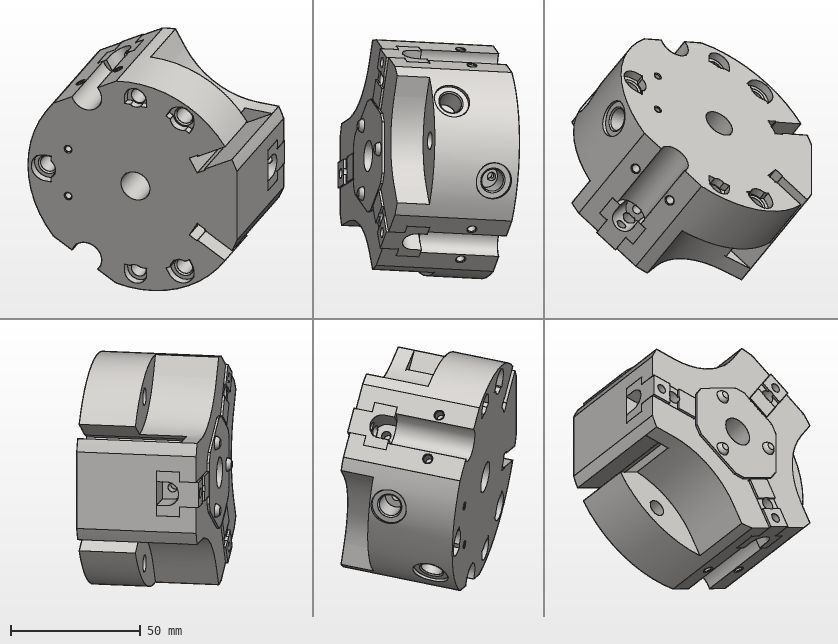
import cadquery as cq
import math


housing_radius = 45.0
flat_distance = 42.4
housing_depth = 47.0
jaw_angles = (0, 120, 240)
bore_radius = 6.0
rim_bottom = 40.5

foot_bottom = 31.4
foot_half_width = 8.8
neck_half_width = 4.95
jaw_top = 47.9
jaw_inner = 21.2
jaw_slot_end = 30.1
jaw_slot_radius = 4.7
jaw_slot_height = 4.0
jaw_slot_axis = foot_bottom + jaw_slot_height
jaw_slot_hole_radius = 1.8
jaw_slot_hole_depth = 5.4
jaw_pin_hole_place = 38.5
jaw_pin_hole_radius = 1.9
key_slot_place = 31.9
key_slot_width = 4.7
key_hole_radius = 2.6
key_hole_bottom = 39.2

hollow_half_width = 24.9
hollow_flank = 8.55
hollow_flank_angle = 60.0
hollow_bottoms = {60: 22.1, 180: 34.0, 300: 22.1}

slot_angles = (30, -30)
slot_inner = 27.9
slot_step = 31.7
slot_half_width = 2.9
slot_end_half_width = 3.3

groove_angles = (120, 240)
groove_place = 40.9
groove_radius = 6.3
clamp_hole_y = 14.6
clamp_hole_offset = 9.0
clamp_hole_radius = 1.6
clamp_hole_length = 5.4

mount_place = 38.0
mount_recess_depth = 3.2
recess_edge_offset = 2.7
through_angles = (60, 180, 300)
through_radius = 3.3
through_counterbore = 4.5
through_recess_radius = 5.6
through_chamfer = 0.6
blind_angles = (90, 270)
blind_radius = 3.1
blind_counterbore = 3.4
blind_recess_radius = 4.6
blind_depth = 18.0
locating_x = -28.2
locating_z = 10.3
locating_radius = 1.3
locating_depth = 7.2
small_chamfer = 0.4

ports = ((160, 26.4, 26.4), (200, 9.5, 7.6))
port_seat_place = 43.5
port_seat_radius = 7.0
port_radius = 4.3
port_chamfer = 0.5
port_depth = 9.4
port_feed_radius = 1.6
port_feed_depth = 5.4

plate_jaw_side = 20.5
plate_long_side = 19.35
plate_corner_side = 21.8
plate_long_side_turn = 60
plate_corner_turn = 30
screw_angles = (60, 180, 300)
screw_place = 15.4
screw_radius = 2.7
screw_top = 49.7
screw_dome_drop = 0.5

drill_tip_angle = 118.0
tool_overrun = 9.0
outside = housing_radius + tool_overrun


def turned(shape, angle):
    """Turn a shape about the Y axis, from +X towards +Z."""
    return shape.rotate((0, 0, 0), (0, 1, 0), -angle)


def level(y, x=0, z=0):
    """A sketch plane across the gripper axis: local x is X and local y is Z."""
    return cq.Workplane("XZ", origin=(x, y, z))


def disc(radius, bottom, top, x=0, z=0):
    """A cylinder parallel to the gripper axis."""
    return level(bottom, x, z).circle(radius).extrude(bottom - top)


def block(inner, outer, half_width, bottom, top):
    """A bar along the radial direction, centred on it."""
    return cq.Workplane("XY").box(outer - inner, top - bottom, 2 * half_width).translate(
        ((inner + outer) / 2, (bottom + top) / 2, 0)
    )


def radial_cylinder(radius, inner, outer, y, z=0):
    return cq.Workplane("YZ", origin=(inner, y, z)).circle(radius).extrude(outer - inner)


def drilled(radius, depth, x, z):
    """A blind hole from the mounting face, with a conical drill tip."""
    tip = radius / math.tan(math.radians(drill_tip_angle / 2))
    profile = [(0, 0), (radius, 0), (radius, depth), (0, depth + tip)]
    return cq.Workplane("XY").polyline(profile).close().revolve(360, (0, 0), (0, 1)).translate((x, 0, z))


def flared(radius, chamfer):
    """A countersink, wide at y = 0."""
    profile = [(0, 0), (radius + chamfer, 0), (radius, chamfer), (0, chamfer)]
    return cq.Workplane("XY").polyline(profile).close().revolve(360, (0, 0), (0, 1))


def radial_countersink(radius, chamfer, outer, y, z=0):
    """A countersink, wide at its outer radius and narrowing towards the axis."""
    return flared(radius, chamfer).rotate((0, 0, 0), (0, 0, 1), 90).translate((outer, y, z))


def jaw_envelope():
    foot = block(jaw_inner, flat_distance, foot_half_width, foot_bottom, rim_bottom)
    neck = block(jaw_inner, flat_distance, neck_half_width, foot_bottom, jaw_top)
    return foot.union(neck)


def jaw(angle):
    slot = block(jaw_slot_end, outside, jaw_slot_radius, foot_bottom, jaw_slot_axis)
    slot = slot.union(radial_cylinder(jaw_slot_radius, jaw_slot_end, outside, jaw_slot_axis))
    slot_hole = radial_cylinder(
        jaw_slot_hole_radius, jaw_slot_end - jaw_slot_hole_depth, jaw_slot_end, jaw_slot_axis
    )
    pin_hole = disc(jaw_pin_hole_radius, foot_bottom, jaw_top, jaw_pin_hole_place)
    key_hole = disc(key_hole_radius, key_hole_bottom, jaw_top, key_slot_place)
    key_slot = block(
        key_slot_place - key_slot_width / 2,
        key_slot_place + key_slot_width / 2,
        neck_half_width,
        housing_depth,
        jaw_top,
    )
    body = jaw_envelope().cut(slot).cut(slot_hole).cut(pin_hole).cut(key_hole).cut(key_slot)
    return turned(body, angle)


def blank():
    """The round body with its three flats."""
    body = disc(housing_radius, 0, housing_depth)
    for angle in jaw_angles:
        body = body.cut(turned(block(flat_distance, outside, housing_radius, 0, housing_depth), angle))
    return body


def hollow(bottom):
    """Two straight flanks joined by an arc that is tangent to both."""
    flank_angle = math.radians(hollow_flank_angle)
    corner_x = math.sqrt(housing_radius**2 - hollow_half_width**2)
    arc_x = corner_x - hollow_flank * math.cos(flank_angle)
    arc_z = hollow_half_width - hollow_flank * math.sin(flank_angle)
    arc_radius = arc_z / math.cos(flank_angle)
    arc_bottom = arc_x - arc_radius * (1 - math.sin(flank_angle))
    return (
        level(bottom)
        .moveTo(outside, hollow_half_width)
        .lineTo(corner_x, hollow_half_width)
        .lineTo(arc_x, arc_z)
        .threePointArc((arc_bottom, 0), (arc_x, -arc_z))
        .lineTo(corner_x, -hollow_half_width)
        .lineTo(outside, -hollow_half_width)
        .close()
        .extrude(bottom - housing_depth)
    )


def side_slot():
    """A slot under the rim that is wider at its inner end."""
    wide_end = block(slot_inner, slot_step, slot_end_half_width, 0, rim_bottom)
    return wide_end.union(block(slot_step, outside, slot_half_width, 0, rim_bottom))


def sensor_groove():
    groove = disc(groove_radius, 0, foot_bottom, groove_place)
    for side in (-1, 1):
        place = (flat_distance, clamp_hole_y, side * clamp_hole_offset)
        hole = radial_cylinder(clamp_hole_radius, flat_distance - clamp_hole_length, *place)
        groove = groove.union(hole).union(radial_countersink(clamp_hole_radius, small_chamfer, *place))
    return groove


def mount_recess(radius, counterbore):
    """A D-shaped recess, round on the outer side, with a round counterbore over it."""
    recess = disc(radius, 0, mount_recess_depth, mount_place)
    recess = recess.union(block(mount_place - radius, mount_place, radius, 0, mount_recess_depth))
    recess = recess.cut(block(0, mount_place - recess_edge_offset, radius, 0, mount_recess_depth))
    return recess.union(disc(counterbore, 0, mount_recess_depth, mount_place))


def through_mount():
    countersink = flared(through_radius, through_chamfer).translate((mount_place, mount_recess_depth, 0))
    hole = disc(through_radius, 0, housing_depth, mount_place)
    return mount_recess(through_recess_radius, through_counterbore).union(hole).union(countersink)


def blind_mount():
    hole = drilled(blind_radius, blind_depth, mount_place, 0)
    return mount_recess(blind_recess_radius, blind_counterbore).union(hole)


def locating_hole(side):
    z = side * locating_z
    countersink = flared(locating_radius, small_chamfer).translate((locating_x, 0, z))
    return drilled(locating_radius, locating_depth, locating_x, z).union(countersink)


def port(y, feed_y):
    """A stepped air port: flat seat, countersunk bore and a small feed hole in its floor."""
    floor = port_seat_place - port_depth
    seat = radial_cylinder(port_seat_radius, port_seat_place, outside, y)
    bore = radial_cylinder(port_radius, floor, port_seat_place, y)
    countersink = radial_countersink(port_radius, port_chamfer, port_seat_place, y)
    feed = radial_cylinder(port_feed_radius, floor - port_feed_depth, floor, feed_y)
    return seat.union(bore).union(countersink).union(feed)


def screw_head():
    """A domed head with a flat top."""
    dome_radius = math.hypot(screw_radius, screw_dome_drop)
    dome = cq.Workplane("XY").sphere(dome_radius).translate((screw_place, jaw_top - screw_dome_drop, 0))
    return dome.intersect(disc(dome_radius, jaw_top, screw_top, screw_place))


def centre_plate():
    """A twelve-sided plate: a hexagon of alternating side distances with its corners cut off."""
    plate = disc(outside, housing_depth, jaw_top)
    sides = [(angle, plate_jaw_side) for angle in jaw_angles]
    sides += [(angle + plate_long_side_turn, plate_long_side) for angle in jaw_angles]
    for angle in jaw_angles:
        sides.append((angle - plate_corner_turn, plate_corner_side))
        sides.append((angle + plate_corner_turn, plate_corner_side))
    for angle, distance in sides:
        waste = block(distance, 2 * outside, 2 * outside, housing_depth, jaw_top)
        plate = plate.cut(turned(waste, angle))
    for angle in screw_angles:
        plate = plate.union(turned(screw_head(), angle))
    return plate


def housing():
    body = blank()
    for angle, bottom in hollow_bottoms.items():
        body = body.cut(turned(hollow(bottom), angle))
    body = body.union(centre_plate()).cut(disc(bore_radius, 0, jaw_top))
    for angle in jaw_angles:
        body = body.cut(turned(jaw_envelope(), angle))
    for angle in slot_angles:
        body = body.cut(turned(side_slot(), angle))
    for angle in groove_angles:
        body = body.cut(turned(sensor_groove(), angle))
    for angle in through_angles:
        body = body.cut(turned(through_mount(), angle))
    for angle in blind_angles:
        body = body.cut(turned(blind_mount(), angle))
    for side in (-1, 1):
        body = body.cut(locating_hole(side))
    for angle, y, feed_y in ports:
        body = body.cut(turned(port(y, feed_y), angle))
    return body


jaws = [jaw(angle) for angle in jaw_angles]

result = cq.Compound.makeCompound([housing().val(), *[slide.val() for slide in jaws]])